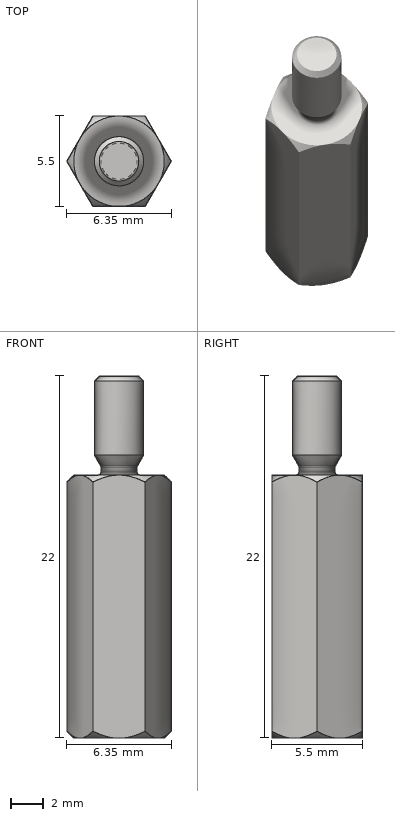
import cadquery as cq
import math

total_length = 22.0
across_flats = 5.5
hex_length = 16.0
across_corners = across_flats / math.cos(math.radians(30))

stud_radius = 3.0 / 2
neck_radius = 2.2 / 2
tip_radius = 2.4 / 2
stud_chamfer = stud_radius - tip_radius
neck_fillet = 0.2
taper_angle = 30.0
taper_top = hex_length + 1.2
taper_length = (stud_radius - neck_radius) / math.tan(math.radians(taper_angle))
neck_top = taper_top - taper_length
neck_select_margin = 0.02


def make_hex_body():
    """Hexagonal prism with 45 degree turned chamfers on the corners at both ends."""
    prism = cq.Workplane("XY").polygon(6, across_corners).extrude(hex_length)
    corner_radius = across_corners / 2
    end_radius = across_flats / 2
    corner_chamfer = corner_radius - end_radius
    envelope = (
        cq.Workplane("XY")
        .circle(corner_radius)
        .extrude(hex_length)
        .faces("<Z or >Z")
        .chamfer(corner_chamfer)
    )
    return prism.intersect(envelope)


def make_stud():
    """Turned stud: narrow neck, conical run-out, full diameter and chamfered tip."""
    profile = [
        (0, hex_length),
        (neck_radius, hex_length),
        (neck_radius, neck_top),
        (stud_radius, taper_top),
        (stud_radius, total_length - stud_chamfer),
        (tip_radius, total_length),
        (0, total_length),
    ]
    return cq.Workplane("XZ").polyline(profile).close().revolve(360, (0, 0, 0), (0, 1, 0))


def round_neck(part):
    """Fillet the two circular edges where the neck meets the shoulder and the taper."""
    reach = neck_radius + neck_select_margin
    neck_box = cq.selectors.BoxSelector(
        (-reach, -reach, hex_length - neck_select_margin),
        (reach, reach, neck_top + neck_select_margin),
        boundingbox=True,
    )
    return part.edges(neck_box).edges("%CIRCLE").fillet(neck_fillet)


result = round_neck(make_hex_body().union(make_stud()))